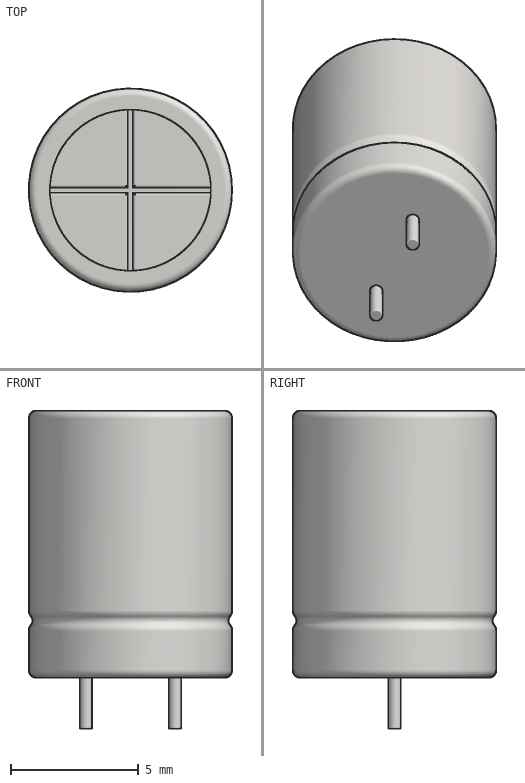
import cadquery as cq
import math

can_diameter = 8.0
can_radius = can_diameter / 2
can_height = 10.5
rim_fillet = 0.3

bead_center_z = 2.25
waist_half_height = 0.18
bead_half_height = 0.38
bead_depth = 0.14

vent_diameter = 6.33
vent_depth = 0.1
vent_floor_z = can_height - vent_depth
groove_floor_width = 0.2
groove_depth = 0.1
groove_top_width = groove_floor_width + 2 * groove_depth

pin_diameter = 0.5
pin_length = 2.0
pin_pitch = 3.5
pin_tip_fillet = 0.05


def make_can():
    """Cylinder standing on Z = 0 with rounded top and bottom rims."""
    can = cq.Workplane("XY").circle(can_radius).extrude(can_height)
    return can.faces("<Z or >Z").edges().fillet(rim_fillet)


def make_bead_cutter():
    """Ring whose section is bounded by the shoulder, waist and shoulder arcs."""
    sweep = 2 * math.atan(bead_depth / bead_half_height)
    waist_arc_radius = waist_half_height / math.sin(sweep)
    shoulder_arc_radius = (bead_half_height - waist_half_height) / math.sin(sweep)
    waist_radius = can_radius - bead_depth
    joint_radius = waist_radius + waist_arc_radius * (1 - math.cos(sweep))

    shoulder_mid_drop = shoulder_arc_radius * (1 - math.cos(sweep / 2))
    shoulder_mid_radius = can_radius - shoulder_mid_drop
    shoulder_mid_height = bead_half_height - shoulder_arc_radius * math.sin(sweep / 2)

    return (
        cq.Workplane("XZ", origin=(0, 0, bead_center_z))
        .moveTo(can_radius, -bead_half_height)
        .threePointArc((shoulder_mid_radius, -shoulder_mid_height), (joint_radius, -waist_half_height))
        .threePointArc((waist_radius, 0), (joint_radius, waist_half_height))
        .threePointArc((shoulder_mid_radius, shoulder_mid_height), (can_radius, bead_half_height))
        .close()
        .revolve(360, (0, 0, 0), (0, 1, 0))
    )


def make_vent_cutter():
    """Round recess plus two crossing grooves that end at the recess wall."""
    recess = cq.Workplane("XY", origin=(0, 0, vent_floor_z)).circle(vent_diameter / 2).extrude(vent_depth)
    flank_mid_y = groove_top_width / 2 - groove_depth * math.sin(math.pi / 4)
    flank_mid_z = -groove_depth * (1 - math.cos(math.pi / 4))
    groove = (
        cq.Workplane("YZ", origin=(0, 0, vent_floor_z))
        .moveTo(-groove_top_width / 2, 0)
        .threePointArc((-flank_mid_y, flank_mid_z), (-groove_floor_width / 2, -groove_depth))
        .lineTo(groove_floor_width / 2, -groove_depth)
        .threePointArc((flank_mid_y, flank_mid_z), (groove_top_width / 2, 0))
        .close()
        .extrude(vent_diameter / 2, both=True)
    )
    cross = groove.union(groove.rotate((0, 0, 0), (0, 0, 1), 90))
    groove_limit = (
        cq.Workplane("XY", origin=(0, 0, vent_floor_z - groove_depth))
        .circle(vent_diameter / 2)
        .extrude(groove_depth)
    )
    return recess.union(cross.intersect(groove_limit))


def make_pin(x):
    """Straight pin hanging below the can, with a rounded tip."""
    pin = cq.Workplane("XY", origin=(x, 0, 0)).circle(pin_diameter / 2).extrude(-pin_length)
    return pin.faces("<Z").edges().fillet(pin_tip_fillet)


result = make_can().cut(make_bead_cutter()).cut(make_vent_cutter())
for side in (-1, 1):
    result = result.union(make_pin(side * pin_pitch / 2))